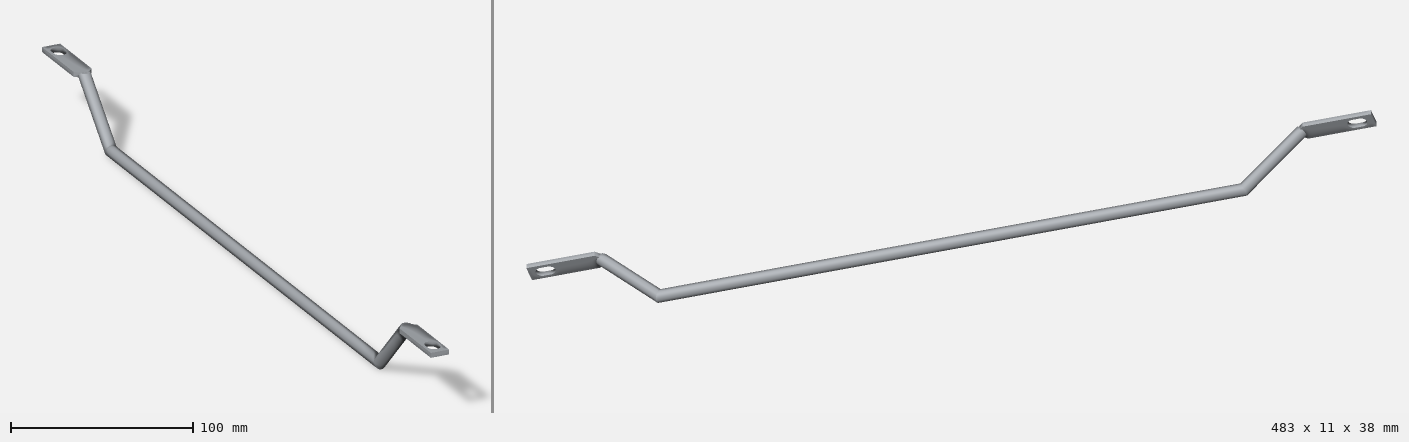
import cadquery as cq

length = 483.0
height = 38.0

bar_diameter = 7.2
bar_radius = bar_diameter / 2
bend_inset = 74.5

tab_width = 11.0
tab_thickness = 3.0
tab_length = 42.5
tab_corner = 3.5
slot_length = 11.0
slot_width = 7.2
slot_inset = 4.0

half_length = length / 2
tab_mid_height = height - tab_thickness / 2
lower_bend_x = half_length - bend_inset
upper_bend_x = lower_bend_x + tab_mid_height - bar_radius


def make_bar():
    """Sweep the round bar with mitred bends, then flatten its ends level with the tabs."""
    axis = cq.Workplane("XZ").polyline([
        (-upper_bend_x, tab_mid_height),
        (-lower_bend_x, bar_radius),
        (lower_bend_x, bar_radius),
        (upper_bend_x, tab_mid_height),
    ])
    start = cq.Plane(origin=(-upper_bend_x, 0, tab_mid_height), xDir=(0, 1, 0), normal=(1, 0, -1))
    bar = cq.Workplane(start).circle(bar_radius).sweep(axis, transition="right")
    envelope = cq.Workplane("XY").box(length, tab_width, height, centered=(True, True, False))
    return bar.intersect(envelope)


def make_left_tab():
    """Flat tab with chamfered inner corners and a lengthwise slot."""
    tab = (
        cq.Workplane("XY", origin=(-half_length, 0, height - tab_thickness))
        .box(tab_length, tab_width, tab_thickness, centered=(False, True, False))
        .edges("|Z and >X")
        .chamfer(tab_corner)
    )
    slot_x = -half_length + slot_inset + slot_length / 2
    slot = (
        cq.Workplane("XY", origin=(slot_x, 0, height - tab_thickness))
        .slot2D(slot_length, slot_width)
        .extrude(tab_thickness)
    )
    return tab.cut(slot)


left_tab = make_left_tab()
right_tab = left_tab.mirror("YZ")
result = make_bar().union(left_tab).union(right_tab)